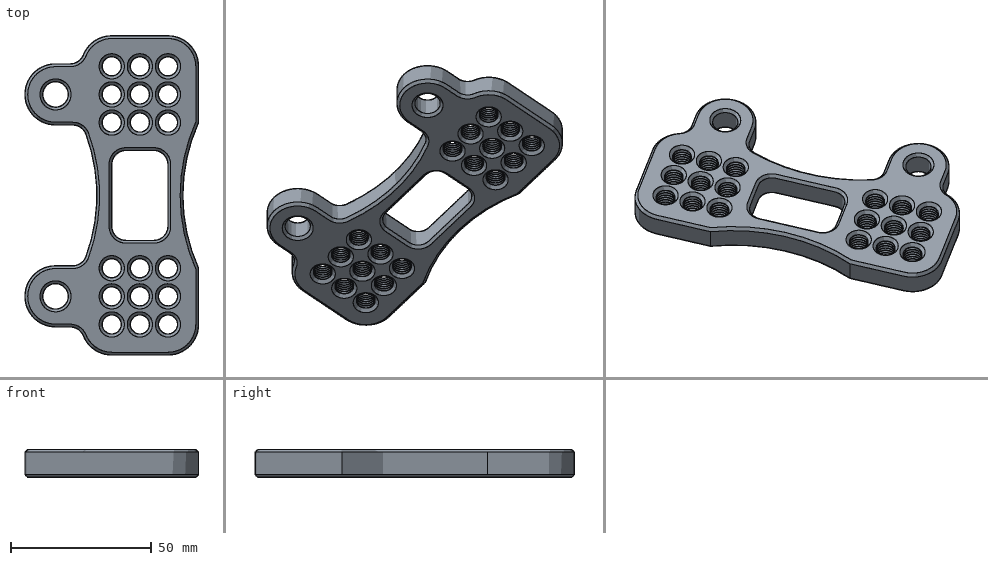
import cadquery as cq

thickness = 10.0
hole_pitch = 10.0
group_spacing = 72.0
corner_radius = 11.0
junction_radius = 5.0
waist_depth = 5.6
edge_chamfer = 1.0

window_width = 20.0
window_height = 32.0
window_corner_radius = 5.0

lug_bore_diameter = 9.0

thread_minor_diameter = 6.7
thread_major_diameter = 8.2
thread_mouth_diameter = 9.0
thread_pitch = 1.3
thread_groove_width = 1.0
thread_groove_count = 6

group_y = group_spacing / 2
block_half_width = hole_pitch + corner_radius
block_half_length = group_y + hole_pitch + corner_radius
waist_half_length = group_y - hole_pitch
lug_column = -3
lug_x = lug_column * hole_pitch
lug_points = [(lug_x, side * group_y) for side in (-1, 1)]


def make_block():
    """Rounded plate that carries both hole groups."""
    block = cq.Workplane("XY").rect(2 * block_half_width, 2 * block_half_length).extrude(thickness)
    return block.edges("|Z").fillet(corner_radius)


def make_waist(side):
    """Circular segment that hollows one long side of the block."""
    edge_x = side * block_half_width
    deepest_x = side * (block_half_width - waist_depth)
    return (
        cq.Workplane("XY")
        .moveTo(edge_x, -waist_half_length)
        .threePointArc((deepest_x, 0), (edge_x, waist_half_length))
        .close()
        .extrude(thickness)
    )


def make_lugs():
    """Two round-ended arms that reach from the group centres toward -X."""
    arms = (
        cq.Workplane("XY")
        .pushPoints([(lug_x / 2, y) for _, y in lug_points])
        .rect(-lug_x, 2 * corner_radius)
        .extrude(thickness)
    )
    ends = cq.Workplane("XY").pushPoints(lug_points).circle(corner_radius).extrude(thickness)
    return arms.union(ends)


def fillet_lug_junctions(plate):
    """Round the four inner corners between the lugs and the block."""
    junctions = cq.selectors.BoxSelector(
        (-block_half_width - junction_radius, -block_half_length, 0),
        (-block_half_width + junction_radius, block_half_length, thickness),
    )
    return plate.edges("|Z").edges(junctions).fillet(junction_radius)


def make_window():
    """Rounded opening between the two groups."""
    window = cq.Workplane("XY").rect(window_width, window_height).extrude(thickness)
    return window.edges("|Z").fillet(window_corner_radius)


def make_lug_bores():
    """Plain through bores centred on the lug ends."""
    return cq.Workplane("XY").pushPoints(lug_points).circle(lug_bore_diameter / 2).extrude(thickness)


def make_threaded_hole():
    """Cutter for one through hole: flared mouths and ring-shaped thread grooves."""
    minor = thread_minor_diameter / 2
    major = thread_major_diameter / 2
    mouth = thread_mouth_diameter / 2
    mouth_depth = mouth - minor

    profile = [(0, 0), (mouth, 0), (minor, mouth_depth)]
    for index in range(thread_groove_count):
        groove_z = thickness / 2 + (index - (thread_groove_count - 1) / 2) * thread_pitch
        profile += [
            (minor, groove_z - thread_groove_width / 2),
            (major, groove_z),
            (minor, groove_z + thread_groove_width / 2),
        ]
    profile += [(minor, thickness - mouth_depth), (mouth, thickness), (0, thickness)]
    return cq.Workplane("XZ").polyline(profile).close().revolve(360, (0, 0, 0), (0, 1, 0))


plate = make_block()
for side in (-1, 1):
    plate = plate.cut(make_waist(side))
plate = fillet_lug_junctions(plate.union(make_lugs()))

plate = plate.cut(make_window())
plate = plate.cut(make_lug_bores())

plate = plate.faces("<Z or >Z").edges().chamfer(edge_chamfer)

threaded_hole = make_threaded_hole()
for group in (-1, 1):
    for row in (-1, 0, 1):
        for column in (-1, 0, 1):
            position = (column * hole_pitch, group * group_y + row * hole_pitch, 0)
            plate = plate.cut(threaded_hole.translate(position))

result = plate